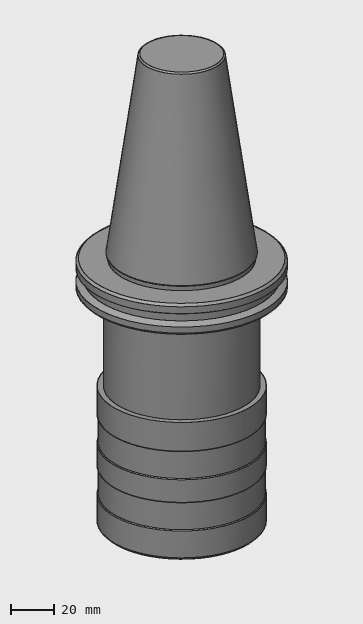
import cadquery as cq

total_height = 240.8

gauge_radius = 35.0
taper_length = 101.8
taper_slope = 7 / 48
tip_chamfer = 0.7
gauge_z = total_height - taper_length
tip_radius = gauge_radius - taper_slope * taper_length

undercut_radius = 34.2

flange_radius = 48.75
flange_top_z = 136.0
flange_bottom_z = 120.1
flange_chamfer = 1.2
groove_floor_radius = 45.3
groove_floor_top_z = 129.8
groove_floor_bottom_z = 126.0
groove_flank_rise = 1.5

neck_radius = 36.0
body_radius = 39.0
body_top_z = 70.8
body_chamfer = 1.5

band_depth = 0.5
band_height = 14.7
band_bottoms = (15.2, 41.5)


def revolve_profile(points):
    """Revolve a closed (radius, z) outline around the Z axis."""
    return cq.Workplane("XZ").polyline(points).close().revolve(360, (0, 0), (0, 1))


def make_taper():
    undercut_shoulder_z = gauge_z - (gauge_radius - undercut_radius)
    chamfer_z = total_height - tip_chamfer
    return revolve_profile([
        (0, flange_bottom_z),
        (undercut_radius, flange_bottom_z),
        (undercut_radius, undercut_shoulder_z),
        (gauge_radius, gauge_z),
        (tip_radius + taper_slope * tip_chamfer, chamfer_z),
        (tip_radius - tip_chamfer, total_height),
        (0, total_height),
    ])


def make_flange():
    face_radius = flange_radius - flange_chamfer
    return revolve_profile([
        (0, flange_bottom_z),
        (face_radius, flange_bottom_z),
        (flange_radius, flange_bottom_z + flange_chamfer),
        (flange_radius, groove_floor_bottom_z - groove_flank_rise),
        (groove_floor_radius, groove_floor_bottom_z),
        (groove_floor_radius, groove_floor_top_z),
        (flange_radius, groove_floor_top_z + groove_flank_rise),
        (flange_radius, flange_top_z - flange_chamfer),
        (face_radius, flange_top_z),
        (0, flange_top_z),
    ])


def make_band(bottom_z):
    """Ring to cut away, with 45 degree ends at the body surface."""
    top_z = bottom_z + band_height
    floor_radius = body_radius - band_depth
    return revolve_profile([
        (body_radius, bottom_z),
        (floor_radius, bottom_z + band_depth),
        (floor_radius, top_z - band_depth),
        (body_radius, top_z),
    ])


def make_body():
    body = cq.Workplane("XY").circle(body_radius).extrude(body_top_z)
    body = body.faces("<Z").edges().chamfer(body_chamfer)
    for bottom_z in band_bottoms:
        body = body.cut(make_band(bottom_z))
    return body


neck = cq.Workplane("XY").circle(neck_radius).extrude(flange_bottom_z)
result = make_body().union(neck).union(make_flange()).union(make_taper())